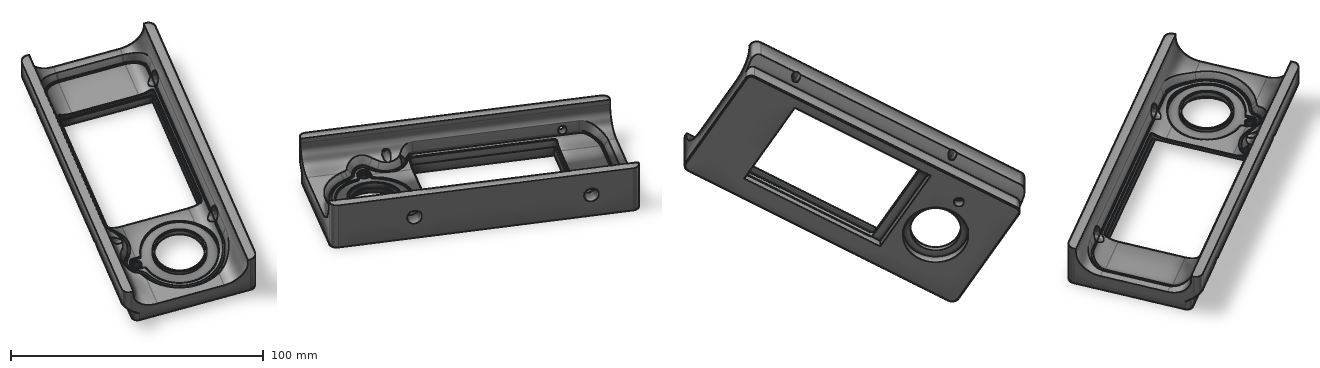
import cadquery as cq
import math

TOLERANCE = 0.05

LENGTH = 126.0
HEIGHT = 20.0
BACK_Y = 28.0
FRONT_UPPER_Y = -28.0
FRONT_LOWER_Y = -24.0
STEP_TOP_Z = 11.0
UPPER_CORNER_R = 3.0
LOWER_CORNER_R = 2.5
BOTTOM_CHAMFER = 0.4

TROUGH_HALF_WIDTH = 24.0
TROUGH_R = 10.0
TROUGH_FLOOR_Z = 8.0
PLATE_FACE_Z = 5.6

POCKET_FLOOR_Z = 4.0
POCKET_LEFT_X = -57.7
POCKET_HALF_WIDTH = 21.5
POCKET_CORNER_R = 8.0
POCKET_RIM_CHAMFER = 2.0
PLATE_RIM_CHAMFER = 1.0
PLATE_EDGE_CHAMFER = 0.3

DIAL_X = 39.5
DIAL_POCKET_R = 18.0
DIAL_Y = POCKET_HALF_WIDTH - DIAL_POCKET_R
DIAL_HOLE_D = 20.0
DIAL_RING_D = 21.6
DIAL_RING_TOP_Z = 6.4
DIAL_OPENING_D = 26.0
BUTTON_Y = -14.5
BUTTON_HOLE_D = 4.0
BUTTON_POCKET_R = 4.8

KEYHOLE_FLOOR_Z = 4.9
KEYHOLE_DIAL_R = 15.4
KEYHOLE_BUTTON_R = 2.5
KEYHOLE_NECK_R = 1.0

SCREW_XS = (-43.0, 29.0)
SCREW_Z = 10.0
SCREW_HOLE_D = 3.4
ACCESS_HOLE_D = 6.0

WEB_X = SCREW_XS[1]
WEB_R = 8.6
WEB_CREST_Y = -15.0
WEB_Y = WEB_CREST_Y - WEB_R
BLEND_R = 4.0

WINDOW_LEFT_X = -39.2
WINDOW_RIGHT_X = 23.5
WINDOW_HALF_WIDTH = 19.5
PLATE_WINDOW_LEFT_X = -40.0
PLATE_WINDOW_RIGHT_X = 19.7
PLATE_WINDOW_HALF_WIDTH = 19.8
PLATE_WINDOW_CORNER_R = 1.0


def box(x0, x1, y0, y1, z0, z1):
    return cq.Workplane("XY").box(x1 - x0, y1 - y0, z1 - z0, centered=False).translate((x0, y0, z0))


def cylinder(x, y, diameter, z0, z1):
    return cq.Workplane("XY", origin=(x, y, z0)).circle(diameter / 2).extrude(z1 - z0)


def toward(start, end, distance):
    """Point at a distance from start on the way to end."""
    span = math.dist(start, end)
    return tuple(s + (e - s) * distance / span for s, e in zip(start, end))


def polar(center, radius, angle):
    return (center[0] + radius * math.cos(angle), center[1] + radius * math.sin(angle))


def touching_center(c0, r0, c1, r1):
    """Right-hand center at distance r0 from c0 and r1 from c1, with c1 straight above c0."""
    gap = c1[1] - c0[1]
    rise = (r0**2 - r1**2 + gap**2) / (2 * gap)
    return (c0[0] + math.sqrt(r0**2 - rise**2), c0[1] + rise)


def arc_middle(center, radius, start, end):
    """Middle point of the shorter arc from start to end."""
    chord_middle = ((start[0] + end[0]) / 2, (start[1] + end[1]) / 2)
    return toward(center, chord_middle, radius)


def pocket_outline(z):
    """Shared outline of the pocket and the plate, clockwise from the start of the top edge."""
    dial = (DIAL_X, DIAL_Y)
    button = (DIAL_X, BUTTON_Y)
    web = (WEB_X, WEB_Y)

    neck = touching_center(button, BUTTON_POCKET_R + BLEND_R, dial, DIAL_POCKET_R + BLEND_R)
    dial_end = toward(dial, neck, DIAL_POCKET_R)
    lobe_start = toward(button, neck, BUTTON_POCKET_R)

    span = math.dist(web, button)
    heading = math.atan2(button[1] - web[1], button[0] - web[0])
    lean = math.acos((WEB_R + BUTTON_POCKET_R) / span)
    web_start = polar(web, WEB_R, heading + lean)
    lobe_end = polar(button, BUTTON_POCKET_R, heading + lean + math.pi)

    foot_y = BLEND_R - POCKET_HALF_WIDTH
    foot = (WEB_X - math.sqrt((WEB_R + BLEND_R)**2 - (foot_y - WEB_Y)**2), foot_y)
    web_end = toward(web, foot, WEB_R)
    foot_end = (foot[0], -POCKET_HALF_WIDTH)

    corner_x = POCKET_LEFT_X + POCKET_CORNER_R
    corner_y = POCKET_HALF_WIDTH - POCKET_CORNER_R
    front_corner_middle = polar((corner_x, -corner_y), POCKET_CORNER_R, -0.75 * math.pi)
    back_corner_middle = polar((corner_x, corner_y), POCKET_CORNER_R, 0.75 * math.pi)
    return (
        cq.Workplane("XY", origin=(0, 0, z))
        .moveTo(corner_x, POCKET_HALF_WIDTH)
        .lineTo(DIAL_X, POCKET_HALF_WIDTH)
        .threePointArc((DIAL_X + DIAL_POCKET_R, DIAL_Y), dial_end)
        .threePointArc(arc_middle(neck, BLEND_R, dial_end, lobe_start), lobe_start)
        .threePointArc(arc_middle(button, BUTTON_POCKET_R, lobe_start, lobe_end), lobe_end)
        .lineTo(*web_start)
        .threePointArc(arc_middle(web, WEB_R, web_start, web_end), web_end)
        .threePointArc(arc_middle(foot, BLEND_R, web_end, foot_end), foot_end)
        .lineTo(corner_x, -POCKET_HALF_WIDTH)
        .threePointArc(front_corner_middle, (POCKET_LEFT_X, -corner_y))
        .lineTo(POCKET_LEFT_X, corner_y)
        .threePointArc(back_corner_middle, (corner_x, POCKET_HALF_WIDTH))
        .close()
    )


def trough(floor_z):
    """Open-topped space with rounded lower corners, running the full length."""
    space = box(-LENGTH, LENGTH, -TROUGH_HALF_WIDTH, TROUGH_HALF_WIDTH, floor_z, floor_z + 2 * HEIGHT)
    return space.edges("|X and <Z").fillet(TROUGH_R)


def rim_selector(floor_z, half_width):
    """Edges lying wholly within half_width of the X axis, on or above the given trough floor."""
    low_corner = (-LENGTH / 2 + TOLERANCE, -half_width - TOLERANCE, floor_z - TOLERANCE)
    high_corner = (LENGTH / 2 - TOLERANCE, half_width + TOLERANCE, HEIGHT)
    return cq.selectors.BoxSelector(low_corner, high_corner, boundingbox=True)


def screw_holes():
    """Screw clearance holes through the front wall and wider access holes through the back wall."""
    holes = cq.Workplane("XZ").pushPoints([(x, SCREW_Z) for x in SCREW_XS])
    clearance = holes.circle(SCREW_HOLE_D / 2).extrude(LENGTH)
    access = holes.circle(ACCESS_HOLE_D / 2).extrude(-LENGTH)
    return clearance.union(access)


def make_envelope():
    """Outer block whose lower front is set back below a 45 degree step."""
    half = LENGTH / 2
    upper = box(-half, half, FRONT_UPPER_Y, BACK_Y, 0, HEIGHT).edges("|Z").fillet(UPPER_CORNER_R)
    below_step = (
        cq.Workplane("YZ", origin=(-LENGTH, 0, 0))
        .moveTo(FRONT_UPPER_Y - HEIGHT, STEP_TOP_Z + HEIGHT)
        .lineTo(FRONT_UPPER_Y + STEP_TOP_Z, 0)
        .lineTo(FRONT_UPPER_Y + STEP_TOP_Z, -HEIGHT)
        .lineTo(FRONT_UPPER_Y - HEIGHT, -HEIGHT)
        .close()
        .extrude(2 * LENGTH)
    )
    lower = (
        box(-half, half, FRONT_LOWER_Y, BACK_Y, 0, HEIGHT)
        .edges("|Z and <Y").fillet(LOWER_CORNER_R)
        .edges("|Z and >Y").fillet(UPPER_CORNER_R)
        .faces("<Z").chamfer(BOTTOM_CHAMFER)
    )
    above_base = box(-LENGTH, LENGTH, FRONT_UPPER_Y, BACK_Y, HEIGHT / 4, HEIGHT)
    return upper.intersect(above_base).cut(below_step).union(lower)


def make_housing():
    body = make_envelope().cut(trough(TROUGH_FLOOR_Z))
    body = body.cut(pocket_outline(POCKET_FLOOR_Z).extrude(HEIGHT))
    rim = body.edges(rim_selector(TROUGH_FLOOR_Z, POCKET_HALF_WIDTH))
    body = rim.chamfer(POCKET_RIM_CHAMFER, TROUGH_FLOOR_Z - PLATE_FACE_Z)
    body = body.cut(screw_holes())

    window = box(WINDOW_LEFT_X, WINDOW_RIGHT_X, -WINDOW_HALF_WIDTH, WINDOW_HALF_WIDTH, 0, HEIGHT)
    dial_opening = cylinder(DIAL_X, DIAL_Y, DIAL_OPENING_D, 0, HEIGHT)
    button_hole = cylinder(DIAL_X, BUTTON_Y, BUTTON_HOLE_D, 0, HEIGHT)
    return body.cut(window).cut(dial_opening).cut(button_hole)


def make_keyhole():
    """Cutter for the recess around the dial hole, with a lobe around the button hole."""
    floor = KEYHOLE_FLOOR_Z
    dial = cylinder(DIAL_X, DIAL_Y, 2 * KEYHOLE_DIAL_R, floor, HEIGHT)
    button = cylinder(DIAL_X, BUTTON_Y, 2 * KEYHOLE_BUTTON_R, floor, HEIGHT)
    neck = box(DIAL_X - KEYHOLE_BUTTON_R, DIAL_X + KEYHOLE_BUTTON_R, BUTTON_Y, DIAL_Y, floor, HEIGHT)
    neck_corners = cq.selectors.BoxSelector(
        (DIAL_X - 2 * KEYHOLE_BUTTON_R, BUTTON_Y + KEYHOLE_BUTTON_R / 2, 0),
        (DIAL_X + 2 * KEYHOLE_BUTTON_R, DIAL_Y, HEIGHT),
    )
    upright = cq.selectors.ParallelDirSelector(cq.Vector(0, 0, 1))
    return dial.union(button).union(neck).edges(upright & neck_corners).fillet(KEYHOLE_NECK_R)


def make_plate():
    along_x = cq.selectors.ParallelDirSelector(cq.Vector(1, 0, 0))
    seams = along_x & rim_selector(PLATE_FACE_Z, TROUGH_HALF_WIDTH - TROUGH_R)
    space = trough(PLATE_FACE_Z)
    rim = rim_selector(PLATE_FACE_Z, POCKET_HALF_WIDTH) - seams

    outline = pocket_outline(POCKET_FLOOR_Z).extrude(HEIGHT).cut(space)
    outline = outline.edges(rim).chamfer(PLATE_RIM_CHAMFER)

    window = box(
        PLATE_WINDOW_LEFT_X, PLATE_WINDOW_RIGHT_X,
        -PLATE_WINDOW_HALF_WIDTH, PLATE_WINDOW_HALF_WIDTH,
        0, HEIGHT,
    )
    window = window.edges("|Z").fillet(PLATE_WINDOW_CORNER_R)
    sheet = box(-LENGTH, LENGTH, -LENGTH, LENGTH, 0, HEIGHT)
    sheet = sheet.cut(space).cut(make_keyhole()).cut(window)
    sheet = sheet.edges(rim).chamfer(PLATE_EDGE_CHAMFER)

    ring = cylinder(DIAL_X, DIAL_Y, DIAL_RING_D, POCKET_FLOOR_Z, DIAL_RING_TOP_Z)
    dial_hole = cylinder(DIAL_X, DIAL_Y, DIAL_HOLE_D, 0, HEIGHT)
    button_hole = cylinder(DIAL_X, BUTTON_Y, BUTTON_HOLE_D, 0, HEIGHT)
    body = outline.intersect(sheet).union(ring)
    return body.cut(dial_hole).cut(button_hole).cut(screw_holes())


housing = make_housing()
plate = make_plate()
result = cq.Compound.makeCompound([housing.val(), plate.val()])